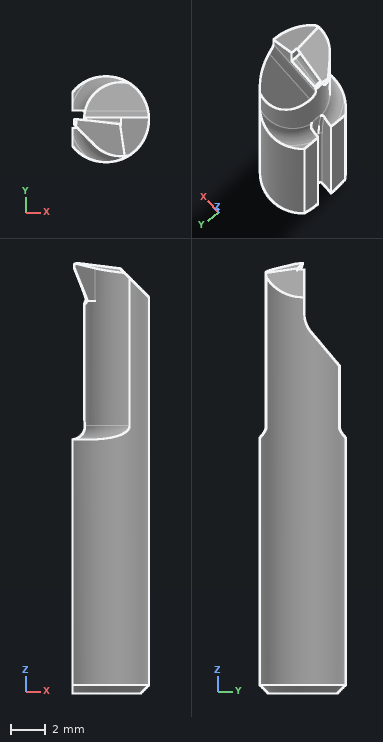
import cadquery as cq
import math


length = 25.0
shank_radius = 2.5
shank_flat_x = -1.95
bottom_chamfer = 0.5

neck_radius = 2.15
neck_center_x = 0.88
shoulder_z = 14.75
shoulder_radius = 0.8

groove_width = 1.0
groove_corner = 0.15
groove_floor_x = -1.0
groove_runout_start_z = 11.0
groove_runout_end_z = 16.02

relief_face_y = 0.1
relief_blend_end_y = 0.48
relief_blend_end_z = 21.0
relief_angle = math.radians(40)

tip_x = -1.88
tip_y = 0.02
nose_height = 0.28
nose_facet_width = 0.18
nose_facet_drop = 0.1
notch_corner_z = 22.8
notch_corner_x = -1.18
notch_floor_slope = 2.0
flank_draft = 0.1
top_slope_x = 0.11
top_slope_y = 0.13
back_bevel_foot_z = 23.0

rake_slope_x = 0.08
rake_slope_z = 0.31
chip_floor_z = 22.82
chip_corner_radius = 0.5
chip_end_x = 0.88

clearance = 3.0
tip_overrun = 0.25


def oblique_prism(points, direction, corner_radius=0.0, corner_index=0):
    """Sweep a closed outline straight along a direction, optionally rounding one corner."""
    wire = cq.Wire.makePolygon([cq.Vector(*p) for p in points], close=True)
    if corner_radius:
        target = cq.Vector(*points[corner_index])
        corner = min(wire.Vertices(), key=lambda v: (v.Center() - target).Length)
        wire = wire.fillet2D(corner_radius, [corner])
    return cq.Workplane(cq.Solid.extrudeLinear(wire, [], cq.Vector(*direction)))


def make_shank():
    shank = cq.Workplane("XY").circle(shank_radius).extrude(length)
    shank = shank.faces("<Z").chamfer(bottom_chamfer)
    flat = cq.Workplane("XY").box(clearance, 4 * shank_radius, 3 * length)
    return shank.cut(flat.translate((shank_flat_x - clearance / 2, 0, 0)))


def make_neck_cutter():
    """Material outside the neck circle, with the concave shoulder at its foot."""
    blend_top_z = shoulder_z + shoulder_radius
    blend_outer = neck_radius + shoulder_radius
    mid = shoulder_radius * (1 - math.sqrt(0.5))
    outer = neck_radius + 2 * clearance
    return (
        cq.Workplane("XZ")
        .moveTo(neck_radius, blend_top_z)
        .threePointArc((neck_radius + mid, shoulder_z + mid), (blend_outer, shoulder_z))
        .lineTo(outer, shoulder_z)
        .lineTo(outer, length + clearance)
        .lineTo(neck_radius, length + clearance)
        .close()
        .revolve(360, (0, 0, 0), (0, 1, 0))
        .translate((neck_center_x, 0, 0))
    )


def make_head():
    """Tip block whose front flat is tangent to the neck at 45 degrees."""
    tangent = neck_radius * math.sqrt(0.5)
    flat_x = neck_center_x - tangent
    nose_y = -tangent - (tip_x - flat_x)
    return (
        cq.Workplane("XY", origin=(0, 0, notch_corner_z))
        .moveTo(neck_center_x, relief_face_y)
        .lineTo(tip_x, relief_face_y)
        .lineTo(tip_x, nose_y)
        .lineTo(flat_x, -tangent)
        .lineTo(neck_center_x, -tangent)
        .close()
        .extrude(length + nose_height - notch_corner_z)
    )


def make_groove_cutter():
    """Round-cornered slot whose floor rises on a tangent arc to the neck surface."""
    exit_x = neck_center_x - neck_radius
    run = groove_runout_end_z - groove_runout_start_z
    rise = groove_floor_x - exit_x
    arc_radius = (run**2 + rise**2) / (2 * rise)
    half_angle = math.asin(run / arc_radius) / 2
    mid_x = groove_floor_x - arc_radius * (1 - math.cos(half_angle))
    mid_z = groove_runout_start_z + arc_radius * math.sin(half_angle)

    groove = (
        cq.Workplane("XZ")
        .moveTo(-2 * clearance, -clearance)
        .lineTo(groove_floor_x, -clearance)
        .lineTo(groove_floor_x, groove_runout_start_z)
        .threePointArc((mid_x, mid_z), (exit_x, groove_runout_end_z))
        .lineTo(-2 * clearance, groove_runout_end_z)
        .close()
        .extrude(groove_width / 2, both=True)
    )
    around_floor = cq.selectors.BoxSelector(
        (exit_x, -groove_width, -clearance),
        (groove_floor_x + clearance, groove_width, groove_runout_end_z),
    )
    floor_edges = groove.edges(around_floor).edges("not |Y")
    return floor_edges.fillet(groove_corner)


def make_relief_cutter():
    blend_radius = (relief_blend_end_y - relief_face_y) / (1 - math.cos(relief_angle))
    start_z = relief_blend_end_z + blend_radius * math.sin(relief_angle)
    mid_y = relief_face_y + blend_radius * (1 - math.cos(relief_angle / 2))
    mid_z = start_z - blend_radius * math.sin(relief_angle / 2)
    far_z = relief_blend_end_z - clearance / math.tan(relief_angle)
    return (
        cq.Workplane("YZ")
        .moveTo(relief_face_y, length + clearance)
        .lineTo(relief_face_y, start_z)
        .threePointArc((mid_y, mid_z), (relief_blend_end_y, relief_blend_end_z))
        .lineTo(relief_blend_end_y + clearance, far_z)
        .lineTo(relief_blend_end_y + clearance, length + clearance)
        .close()
        .extrude(2 * clearance, both=True)
    )


def make_flank_cutter():
    """Nose facet and face, undercut flank and notch floor, drafted away from the rake face."""
    y = tip_y
    left = tip_x - clearance
    floor_z = notch_corner_z - notch_floor_slope * (notch_corner_x - tip_x)
    outline = [
        (tip_x + nose_facet_width, y, length + clearance),
        (tip_x + nose_facet_width, y, length),
        (tip_x, y, length - nose_facet_drop),
        (tip_x, y, length - nose_height),
        (notch_corner_x, y, notch_corner_z),
        (tip_x, y, floor_z),
        (left, y, floor_z),
        (left, y, length + clearance),
    ]
    front = oblique_prism(outline, (flank_draft * clearance, -clearance, 0))
    back = oblique_prism(outline, (-flank_draft * tip_overrun, tip_overrun, 0))
    return front.union(back)


def make_top_cutter():
    """End face sloping down from the tip, and the 45 degree bevel behind it."""
    peak_y = tip_y - rake_slope_x * nose_facet_width
    y = peak_y + clearance
    tip_z = length + top_slope_y * clearance
    reach = 3 * clearance
    peak_x = tip_x + nose_facet_width
    end_face = oblique_prism(
        [
            (peak_x - clearance, y, tip_z + top_slope_x * clearance),
            (peak_x + reach, y, tip_z - top_slope_x * reach),
            (peak_x + reach, y, tip_z + clearance),
            (peak_x - clearance, y, tip_z + clearance),
        ],
        (0, -2 * clearance, -2 * clearance * top_slope_y),
    )
    bevel = oblique_prism(
        [
            (shank_radius + clearance, y, back_bevel_foot_z - clearance),
            (shank_radius - clearance, y, back_bevel_foot_z + clearance),
            (shank_radius + clearance, y, back_bevel_foot_z + clearance),
        ],
        (0, -2 * clearance, 0),
    )
    return end_face.union(bevel)


def make_chip_cutter():
    """Tilted rake face ending in a rounded corner and a level floor."""
    x = tip_x - tip_overrun
    y = tip_y + rake_slope_x * tip_overrun
    run = chip_end_x - x
    corner_y = y - rake_slope_z * (length - chip_floor_z)
    outline = [
        (x, y + rake_slope_z * clearance, length + clearance),
        (x, corner_y, chip_floor_z),
        (x, y + clearance, chip_floor_z),
        (x, y + clearance, length + clearance),
    ]
    direction = (run, -rake_slope_x * run, 0)
    return oblique_prism(outline, direction, chip_corner_radius, corner_index=1)


result = make_shank().cut(make_neck_cutter()).union(make_head())
for cutter in (
    make_groove_cutter(),
    make_relief_cutter(),
    make_flank_cutter(),
    make_top_cutter(),
    make_chip_cutter(),
):
    result = result.cut(cutter)